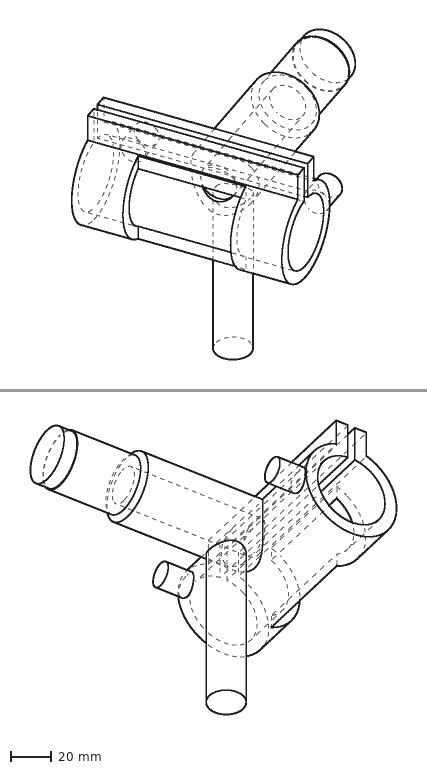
import cadquery as cq


clamp_length = 117.0
clamp_outer_radius = 27.0
clamp_bore_radius = 20.0
lug_top_z = 40.3
lug_thickness = 7.0
lug_gap = 4.0
window_length = 59.8
window_back_y = -9.9

sleeve_radius = 19.0
sleeve_end_y = 97.8
sleeve_chamfer_length = 2.5

stem_radius = 10.0
head_radius = 16.0
tip_radius = 15.5
tip_length = 7.6
overall_depth = 170
spindle_end_y = overall_depth - clamp_outer_radius

handle_radius = 10.0
handle_y = 36.4
overall_height = 151.5
handle_bottom_z = lug_top_z - overall_height

peg_radius = 7.0
peg_x = 51.0
peg_end_y = 42.2


def cylinder_along_y(radius, start_y, end_y, x=0):
    """Solid cylinder parallel to Y at height zero."""
    return cq.Workplane("XZ", origin=(x, start_y, 0)).circle(radius).extrude(start_y - end_y)


def cylinder_along_x(radius):
    """Solid cylinder over the whole clamp length, centred on the origin."""
    return cq.Workplane("YZ").circle(radius).extrude(clamp_length / 2, both=True)


def make_sleeve():
    """Sleeve blank whose end chamfer narrows to the spindle head."""
    sleeve = cylinder_along_y(sleeve_radius, 0, sleeve_end_y)
    chamfer_depth = sleeve_radius - head_radius
    profile = (
        cq.Workplane("XY")
        .moveTo(sleeve_radius, sleeve_end_y - sleeve_chamfer_length)
        .lineTo(sleeve_radius, sleeve_end_y)
        .lineTo(sleeve_radius - chamfer_depth, sleeve_end_y)
        .close()
    )
    return sleeve.cut(profile.revolve(360, (0, 0, 0), (0, 1, 0)))


def make_housing():
    """Clamp, sleeve, handle and pegs in one piece."""
    housing = cylinder_along_x(clamp_outer_radius)

    lug_block = cq.Workplane("XY").box(
        clamp_length, 2 * lug_thickness + lug_gap, lug_top_z, centered=(True, True, False)
    )
    housing = housing.union(lug_block).union(make_sleeve())

    handle = (
        cq.Workplane("XY", origin=(0, handle_y, 0))
        .circle(handle_radius)
        .extrude(handle_bottom_z)
    )
    housing = housing.union(handle)

    for x in (-peg_x, peg_x):
        housing = housing.union(cylinder_along_y(peg_radius, 0, peg_end_y, x))

    housing = housing.cut(cylinder_along_x(clamp_bore_radius))
    gap = cq.Workplane("XY").box(clamp_length, lug_gap, lug_top_z, centered=(True, True, False))
    housing = housing.cut(gap)
    housing = housing.cut(cylinder_along_y(stem_radius, 0, sleeve_end_y))

    window_depth = clamp_outer_radius + window_back_y
    window = cq.Workplane("XY", origin=(0, window_back_y - window_depth / 2, 0)).box(
        window_length, window_depth, 2 * clamp_outer_radius
    )
    return housing.cut(window)


def make_spindle():
    """Stem from the clamp bore to the sleeve end, then the head and its reduced tip."""
    tip_start_y = spindle_end_y - tip_length
    stem = cylinder_along_y(stem_radius, clamp_bore_radius, sleeve_end_y)
    head = cylinder_along_y(head_radius, sleeve_end_y, tip_start_y)
    tip = cylinder_along_y(tip_radius, tip_start_y, spindle_end_y)
    return stem.union(head).union(tip)


housing = make_housing()
spindle = make_spindle()

result = cq.Compound.makeCompound([housing.solids().val(), spindle.solids().val()])